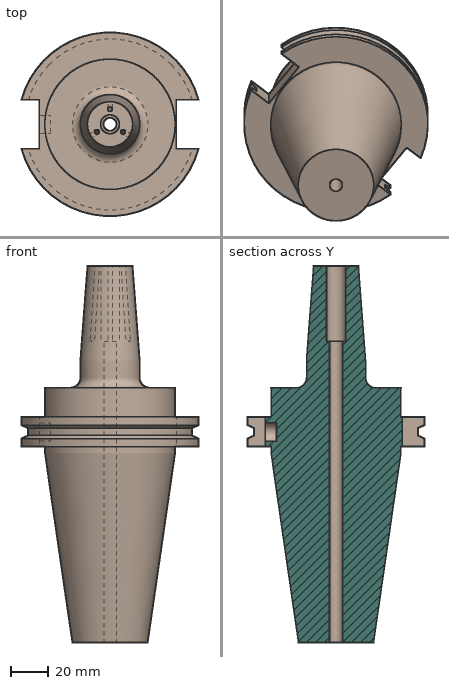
import cadquery as cq
import math

TOTAL_HEIGHT = 201.5
TAPER_TOP = 101.6
FLANGE_BOTTOM = 104.8
FLANGE_TOP = 120.8
SHOULDER_TOP = 136.5
NOSE_CONE_BOTTOM = 151.0

TAPER_SMALL_RADIUS = 20.2
BODY_RADIUS = 34.9
FLANGE_RADIUS = 49.2
NOSE_RADIUS = 16.0
NOSE_TIP_RADIUS = 12.0
NOSE_FILLET = 5.2

GROOVE_FLOOR_RADIUS = 45.8
GROOVE_FLOOR_WIDTH = 3.8
GROOVE_MOUTH_WIDTH = 7.3
FLANGE_MIDDLE = (FLANGE_BOTTOM + FLANGE_TOP) / 2

SLOT_WIDTH = 26.0
SLOT_FLOOR_LEFT = 38.0
SLOT_FLOOR_RIGHT = 35.5

SLOT_HOLE_RADIUS = 4.8
SLOT_HOLE_DEPTH = 6.0

BORE_RADIUS = 5.0
BORE_DEPTH = 40.3
THROUGH_RADIUS = 3.5
COOLANT_RADIUS = 1.2
COOLANT_DEPTH = 40.3
COOLANT_CIRCLE_RADIUS = 8.0
COOLANT_COUNT = 3
COOLANT_FIRST_ANGLE = 90.0
COOLANT_OVERSHOOT = 2.0


def turned_body():
    """Revolve the half profile of the taper, flange, shoulder and nose."""
    floor_half = GROOVE_FLOOR_WIDTH / 2
    mouth_half = GROOVE_MOUTH_WIDTH / 2
    fillet_center = (NOSE_RADIUS + NOSE_FILLET, SHOULDER_TOP + NOSE_FILLET)
    fillet_offset = NOSE_FILLET * math.sqrt(0.5)
    fillet_middle = (fillet_center[0] - fillet_offset, fillet_center[1] - fillet_offset)
    profile = (
        cq.Workplane("XZ")
        .lineTo(TAPER_SMALL_RADIUS, 0)
        .lineTo(BODY_RADIUS, TAPER_TOP)
        .lineTo(BODY_RADIUS, FLANGE_BOTTOM)
        .lineTo(FLANGE_RADIUS, FLANGE_BOTTOM)
        .lineTo(FLANGE_RADIUS, FLANGE_MIDDLE - mouth_half)
        .lineTo(GROOVE_FLOOR_RADIUS, FLANGE_MIDDLE - floor_half)
        .lineTo(GROOVE_FLOOR_RADIUS, FLANGE_MIDDLE + floor_half)
        .lineTo(FLANGE_RADIUS, FLANGE_MIDDLE + mouth_half)
        .lineTo(FLANGE_RADIUS, FLANGE_TOP)
        .lineTo(BODY_RADIUS, FLANGE_TOP)
        .lineTo(BODY_RADIUS, SHOULDER_TOP)
        .lineTo(fillet_center[0], SHOULDER_TOP)
        .threePointArc(fillet_middle, (NOSE_RADIUS, fillet_center[1]))
        .lineTo(NOSE_RADIUS, NOSE_CONE_BOTTOM)
        .lineTo(NOSE_TIP_RADIUS, TOTAL_HEIGHT)
        .lineTo(0, TOTAL_HEIGHT)
        .close()
    )
    return profile.revolve(360, (0, 0), (0, 1))


def drive_slot(side, floor_distance):
    """Cutter for a slot across the flange; side is -1 for -X and 1 for +X."""
    middle = side * (floor_distance + FLANGE_RADIUS) / 2
    return (
        cq.Workplane("XY", origin=(middle, 0, FLANGE_BOTTOM))
        .rect(FLANGE_RADIUS - floor_distance, SLOT_WIDTH)
        .extrude(FLANGE_TOP - FLANGE_BOTTOM)
    )


def slot_hole():
    """Radial cutter entering from the floor of the left slot."""
    return (
        cq.Workplane("YZ", origin=(-SLOT_FLOOR_LEFT, 0, FLANGE_MIDDLE))
        .circle(SLOT_HOLE_RADIUS)
        .extrude(SLOT_HOLE_DEPTH)
    )


def stepped_bore():
    """Cutter for the tool bore and the narrower hole through the whole length."""
    nose_face = cq.Workplane("XY", origin=(0, 0, TOTAL_HEIGHT))
    through = nose_face.circle(THROUGH_RADIUS).extrude(-TOTAL_HEIGHT)
    bore = nose_face.circle(BORE_RADIUS).extrude(-BORE_DEPTH)
    return through.union(bore)


def coolant_hole(angle):
    """Cutter for one coolant hole, sloping outward parallel to the nose cone."""
    spread = (NOSE_RADIUS - NOSE_TIP_RADIUS) / (TOTAL_HEIGHT - NOSE_CONE_BOTTOM)
    mouth = cq.Vector(COOLANT_CIRCLE_RADIUS, 0, TOTAL_HEIGHT)
    inward = cq.Vector(spread, 0, -1).normalized()
    start = mouth - inward * COOLANT_OVERSHOOT
    length = COOLANT_DEPTH + COOLANT_OVERSHOOT
    hole = cq.Solid.makeCylinder(COOLANT_RADIUS, length, start, inward)
    return cq.Workplane(hole).rotate((0, 0, 0), (0, 0, 1), angle)


result = (
    turned_body()
    .cut(drive_slot(-1, SLOT_FLOOR_LEFT))
    .cut(drive_slot(1, SLOT_FLOOR_RIGHT))
    .cut(slot_hole())
    .cut(stepped_bore())
)

for index in range(COOLANT_COUNT):
    result = result.cut(coolant_hole(COOLANT_FIRST_ANGLE + index * 360 / COOLANT_COUNT))